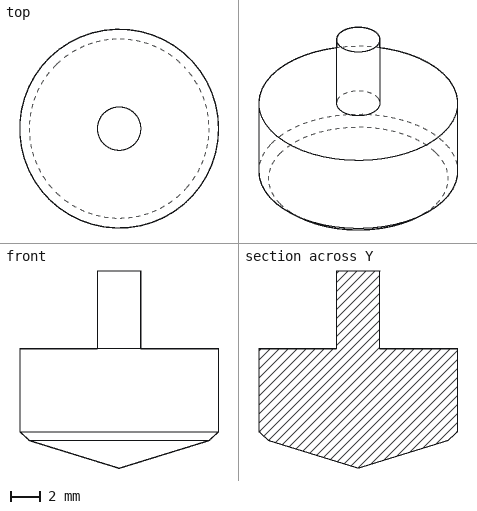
import cadquery as cq

body_diameter = 13.3
pin_diameter = 2.9
pin_length = 5.2
wall_height = 5.55
chamfer_width = 0.65
chamfer_height = 0.6
tip_height = 1.85

body_radius = body_diameter / 2
pin_radius = pin_diameter / 2
tip_base_radius = body_radius - chamfer_width
wall_bottom = tip_height + chamfer_height
body_top = wall_bottom + wall_height
pin_top = body_top + pin_length


def revolved_part():
    """Turn the half profile (radius, height) around the Z axis."""
    profile = (
        cq.Workplane("XZ")
        .moveTo(0, 0)
        .lineTo(tip_base_radius, tip_height)
        .lineTo(body_radius, wall_bottom)
        .lineTo(body_radius, body_top)
        .lineTo(pin_radius, body_top)
        .lineTo(pin_radius, pin_top)
        .lineTo(0, pin_top)
        .close()
    )
    return profile.revolve(360, (0, 0, 0), (0, 1, 0))


result = revolved_part()